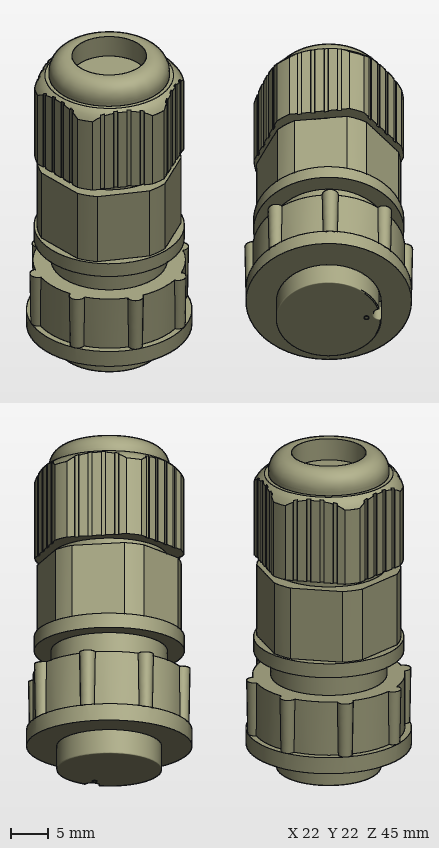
import cadquery as cq
import math

PLUG_BOTTOM = 0.15
RING_BOTTOM = 3.45
RING_RIM_TOP = 5.75
RING_TOP = 13.35
COLLAR_BOTTOM = 16.8
COLLAR_TOP = 18.75
HEX_TOP = 28.85
NUT_BOTTOM = 30.0
NUT_SHOULDER = 40.6
NUT_FACE = 42.0
NUT_TOP = 45.0

HEX_SIDES = 6

PLUG_RADIUS = 6.98
PLUG_EDGE_FILLET = 0.15
LOWER_NECK_RADIUS = 7.75
COLLAR_RADIUS = 10.0
UPPER_NECK_RADIUS = 7.7
BODY_HEX_APOTHEM = 8.9
BODY_HEX_CORNER_RADIUS = 9.6
BODY_HEX_TURN = 1.0

KEYWAY_RADIUS = 1.0
KEYWAY_ANGLE = 240.0
PIP_RADIUS = 0.3
PIP_X = -2.25
PIP_Y = -4.5

NUT_APOTHEM = 9.1
NUT_CORNER_RADIUS = 9.95
NUT_FACE_RADIUS = 8.55
NUT_CROWN_BULGE = 0.112
DOME_RADIUS = 8.0
DOME_FILLET = 2.48
CABLE_HOLE_RADIUS = 4.95
GROOVE_WIDTH = 0.55
GROOVE_DEPTH = 0.2
GROOVE_PITCH = 1.8
GROOVES_PER_FLAT = 4

RING_RIM_DIAMETER = 22.0
RING_RIM_RADIUS = RING_RIM_DIAMETER / 2
RING_GRIP_RADIUS = 10.12
LUG_COUNT = 8
LUG_FIRST_ANGLE = 24.0
LUG_CENTRE_RADIUS = 10.1
LUG_TOP_RADIUS = 1.1
LUG_BOTTOM_RADIUS = 0.95


def disc(radius, bottom, top):
    """Solid cylinder on the Z axis between two heights."""
    return cq.Workplane("XY").workplane(offset=bottom).circle(radius).extrude(top - bottom)


def hex_prism(apothem, corner_radius, bottom, top):
    """Hexagonal prism with flats facing +Y and -Y and its corners turned to a cylinder."""
    across_corners = 2 * apothem / math.cos(math.pi / HEX_SIDES)
    prism = (
        cq.Workplane("XY")
        .workplane(offset=bottom)
        .polygon(HEX_SIDES, across_corners)
        .extrude(top - bottom)
    )
    return prism.intersect(disc(corner_radius, bottom, top))


def polar_point(radius, angle):
    """X and Y of the point at a radius and an angle in degrees."""
    return radius * math.cos(math.radians(angle)), radius * math.sin(math.radians(angle))


def make_body():
    """Gland body: keyed plug, necks, collar and wrench hexagon in one piece."""
    keyway = (
        cq.Workplane("XY")
        .workplane(offset=PLUG_BOTTOM)
        .center(*polar_point(PLUG_RADIUS, KEYWAY_ANGLE))
        .circle(KEYWAY_RADIUS)
        .extrude(RING_BOTTOM - PLUG_BOTTOM)
    )
    pip = (
        cq.Workplane("XY")
        .center(PIP_X, PIP_Y)
        .circle(PIP_RADIUS)
        .extrude(PLUG_BOTTOM)
    )
    wrench_hex = hex_prism(BODY_HEX_APOTHEM, BODY_HEX_CORNER_RADIUS, COLLAR_TOP, HEX_TOP)
    return (
        disc(PLUG_RADIUS, PLUG_BOTTOM, RING_TOP)
        .cut(keyway)
        .faces("<Z")
        .edges()
        .fillet(PLUG_EDGE_FILLET)
        .union(pip)
        .union(disc(LOWER_NECK_RADIUS, RING_TOP, COLLAR_BOTTOM))
        .union(disc(COLLAR_RADIUS, COLLAR_BOTTOM, COLLAR_TOP))
        .union(wrench_hex.rotate((0, 0, 0), (0, 0, 1), BODY_HEX_TURN))
        .union(disc(UPPER_NECK_RADIUS, HEX_TOP, NUT_BOTTOM))
    )


def grip_grooves():
    """Shallow vertical grooves on the six flats of the cap nut."""
    grooves = cq.Workplane("XY")
    for side in range(HEX_SIDES):
        flat_angle = 360 / HEX_SIDES * side
        for index in range(GROOVES_PER_FLAT):
            offset = (index - (GROOVES_PER_FLAT - 1) / 2) * GROOVE_PITCH
            groove = (
                cq.Workplane("XY")
                .box(GROOVE_WIDTH, 2 * GROOVE_DEPTH, NUT_FACE - NUT_BOTTOM, centered=(True, True, False))
                .translate((offset, NUT_APOTHEM, NUT_BOTTOM))
                .rotate((0, 0, 0), (0, 0, 1), flat_angle)
            )
            grooves = grooves.add(groove)
    return grooves.combine()


def nut_crown():
    """Turned envelope that rounds the upper corners of the cap nut."""
    middle_radius = (NUT_FACE_RADIUS + NUT_CORNER_RADIUS) / 2 + NUT_CROWN_BULGE
    middle_height = (NUT_FACE + NUT_SHOULDER) / 2 + NUT_CROWN_BULGE
    return (
        cq.Workplane("XZ")
        .moveTo(0, NUT_BOTTOM)
        .lineTo(NUT_CORNER_RADIUS, NUT_BOTTOM)
        .lineTo(NUT_CORNER_RADIUS, NUT_SHOULDER)
        .threePointArc((middle_radius, middle_height), (NUT_FACE_RADIUS, NUT_FACE))
        .lineTo(0, NUT_FACE)
        .close()
        .revolve(360, (0, 0, 0), (0, 1, 0))
    )


def make_nut():
    """Cap nut: grooved hexagon with a domed top and a blind cable hole, seated on the upper neck."""
    dome = disc(DOME_RADIUS, NUT_FACE, NUT_TOP).faces(">Z").edges().fillet(DOME_FILLET)
    return (
        hex_prism(NUT_APOTHEM, NUT_CORNER_RADIUS, NUT_BOTTOM, NUT_FACE)
        .cut(grip_grooves())
        .intersect(nut_crown())
        .union(dome)
        .cut(disc(CABLE_HOLE_RADIUS, NUT_FACE, NUT_TOP))
    )


def grip_lug(angle):
    """Round grip lug that widens upward, standing on the rim of the coupling ring."""
    centre = polar_point(LUG_CENTRE_RADIUS, angle)
    return (
        cq.Workplane("XY")
        .workplane(offset=RING_RIM_TOP)
        .center(*centre)
        .circle(LUG_BOTTOM_RADIUS)
        .workplane(offset=RING_TOP - RING_RIM_TOP)
        .circle(LUG_TOP_RADIUS)
        .loft(ruled=True)
    )


def make_ring():
    """Coupling ring that turns on the plug: rim, grip cylinder and lugs."""
    ring = disc(RING_RIM_RADIUS, RING_BOTTOM, RING_RIM_TOP)
    ring = ring.union(disc(RING_GRIP_RADIUS, RING_RIM_TOP, RING_TOP))
    for index in range(LUG_COUNT):
        ring = ring.union(grip_lug(LUG_FIRST_ANGLE + 360 / LUG_COUNT * index))
    return ring.cut(disc(PLUG_RADIUS, RING_BOTTOM, RING_TOP))


body = make_body()
nut = make_nut()
ring = make_ring()

result = cq.Compound.makeCompound([body.val(), nut.val(), ring.val()])